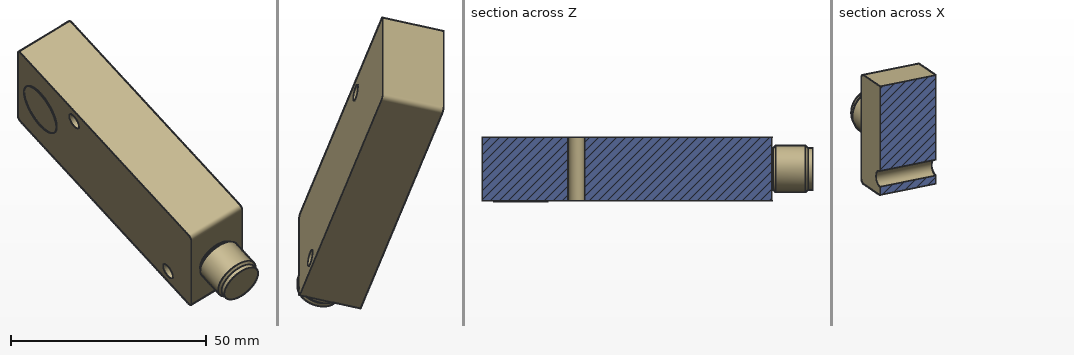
import cadquery as cq

LENGTH = 74.0
HEIGHT = 30.0
DEPTH = 16.25
CORNER_RADIUS = 1.25
COVER_THICKNESS = 0.75

DISC_DIAMETER = 13.8
DISC_RAISE = 0.25
DISC_FROM_END = 9.8

HOLE_DIAMETER = 4.2
HOLE_EDGE_MARGIN = 4.5
UPPER_HOLE_FROM_LEFT_END = 24.0
LOWER_HOLE_FROM_RIGHT_END = 10.0
HOLE_HEIGHT = HEIGHT / 2 - HOLE_EDGE_MARGIN
UPPER_HOLE = (-LENGTH / 2 + UPPER_HOLE_FROM_LEFT_END, HOLE_HEIGHT)
LOWER_HOLE = (LENGTH / 2 - LOWER_HOLE_FROM_RIGHT_END, -HOLE_HEIGHT)

WINDOW_DIAMETER = 3.7
WINDOW_SPACING = 17.75
WINDOW_FROM_BACK = 5.1
WINDOW_DEPTH = 1.0

CONNECTOR_LENGTH = 10.4
COLLAR_RADIUS = 6.0
COLLAR_START = 0.9
COLLAR_END = 8.5
NECK_RADIUS = 5.4
NECK_LENGTH = 0.3
TIP_RADIUS = NECK_RADIUS
TIP_START = 9.2
CONNECTOR_OVERLAP = 1.0


def rounded_slab(front_y, thickness):
    """Slab with rounded corners, reaching from front_y towards +Y."""
    return (
        cq.Workplane("XZ", origin=(0, front_y, 0))
        .rect(LENGTH, HEIGHT)
        .extrude(-thickness)
        .edges("|Y")
        .fillet(CORNER_RADIUS)
    )


def make_disc():
    """Sensing disc standing proud of the front face and rooted in the cover."""
    center_x = -LENGTH / 2 + DISC_FROM_END
    return (
        cq.Workplane("XZ", origin=(center_x, -DISC_RAISE, 0))
        .circle(DISC_DIAMETER / 2)
        .extrude(-(DISC_RAISE + COVER_THICKNESS))
    )


def make_mounting_holes():
    """Cylinders that cut the two diagonal through holes."""
    return (
        cq.Workplane("XZ")
        .pushPoints([UPPER_HOLE, LOWER_HOLE])
        .circle(HOLE_DIAMETER / 2)
        .extrude(-DEPTH)
    )


def make_windows():
    """Two plugs that fill the indicator bores level with the end face."""
    return (
        cq.Workplane("YZ", origin=(-LENGTH / 2, DEPTH - WINDOW_FROM_BACK, 0))
        .pushPoints([(0, WINDOW_SPACING / 2), (0, -WINDOW_SPACING / 2)])
        .circle(WINDOW_DIAMETER / 2)
        .extrude(WINDOW_DEPTH)
    )


def make_connector():
    """Turned profile: short neck, bevelled collar, slimmer tip."""
    profile = [
        (-CONNECTOR_OVERLAP, 0),
        (-CONNECTOR_OVERLAP, NECK_RADIUS),
        (NECK_LENGTH, NECK_RADIUS),
        (COLLAR_START, COLLAR_RADIUS),
        (COLLAR_END, COLLAR_RADIUS),
        (TIP_START, TIP_RADIUS),
        (CONNECTOR_LENGTH, TIP_RADIUS),
        (CONNECTOR_LENGTH, 0),
    ]
    return (
        cq.Workplane("XY", origin=(LENGTH / 2, DEPTH / 2, 0))
        .polyline(profile)
        .close()
        .revolve(360, (0, 0, 0), (1, 0, 0))
    )


housing = rounded_slab(COVER_THICKNESS, DEPTH - COVER_THICKNESS)
cover = rounded_slab(0, COVER_THICKNESS)
windows = make_windows()

result = (
    housing.cut(windows)
    .union(windows, clean=False)
    .union(cover, clean=False)
    .union(make_disc(), clean=False)
    .union(make_connector(), clean=False)
    .cut(make_mounting_holes(), clean=False)
)